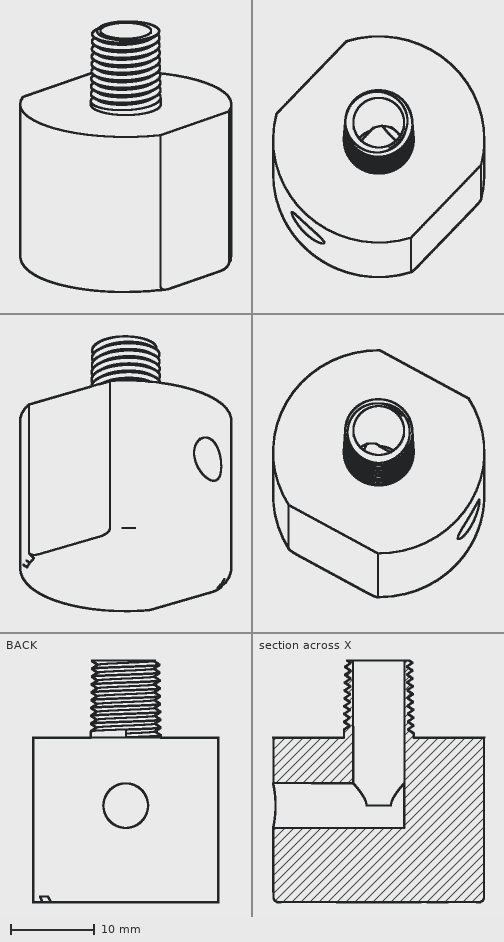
import cadquery as cq
import math

total_height = 29.08
body_height = 19.8
body_diameter = 25.4
across_flats = 22.22
bottom_fillet = 0.7

stud_height = total_height - body_height
stud_base_radius = 4.22
stud_top_radius = 4.05
thread_turns = 10
thread_length = 9.42
thread_pitch = thread_length / thread_turns
thread_depth = 0.67
crest_width = 0.03
thread_start_height = 0.5
thread_start_angle = 90.0
groove_overlap = 0.015

bore_diameter = 6.1
port_diameter = 5.35
port_height = 11.63


def make_body():
    """Cylinder with a rounded bottom rim and two flats facing X."""
    cylinder = cq.Workplane("XY").circle(body_diameter / 2).extrude(body_height)
    rounded = cylinder.faces("<Z").edges().fillet(bottom_fillet)
    flats = cq.Workplane("XY").rect(across_flats, 2 * body_diameter).extrude(body_height)
    return rounded.intersect(flats)


def make_stud():
    """Tapered stud, its foot on the XY plane, with a right-hand V thread."""
    blank = (
        cq.Workplane("XZ")
        .polyline([(0, 0), (stud_base_radius, 0), (stud_top_radius, stud_height), (0, stud_height)])
        .close()
        .revolve(360, (0, 0), (0, 1))
    )
    taper = (stud_base_radius - stud_top_radius) / stud_height
    start_radius = stud_base_radius - taper * thread_start_height
    helix = cq.Wire.makeHelix(
        thread_pitch, thread_length, start_radius, angle=-math.degrees(math.atan(taper))
    )
    mouth_half = (thread_pitch - crest_width) / 2
    mouth_radius = start_radius + groove_overlap
    root_radius = start_radius - thread_depth
    groove = (
        cq.Workplane("XZ")
        .polyline([(root_radius, 0), (mouth_radius, -mouth_half), (mouth_radius, mouth_half)])
        .close()
        .sweep(cq.Workplane(helix), isFrenet=True)
        .rotate((0, 0, 0), (0, 0, 1), thread_start_angle)
        .translate((0, 0, thread_start_height))
    )
    return blank.cut(groove)


def make_bore():
    """Axial bore from the stud end down to the port axis."""
    return (
        cq.Workplane("XY")
        .workplane(offset=port_height)
        .circle(bore_diameter / 2)
        .extrude(total_height - port_height)
    )


def make_port():
    """Side port from the +Y side to the far wall of the bore."""
    return (
        cq.Workplane("XZ", origin=(0, body_diameter / 2, port_height))
        .circle(port_diameter / 2)
        .extrude(body_diameter / 2 + bore_diameter / 2)
    )


stud = make_stud().translate((0, 0, body_height))
result = make_body().union(stud).cut(make_bore()).cut(make_port())